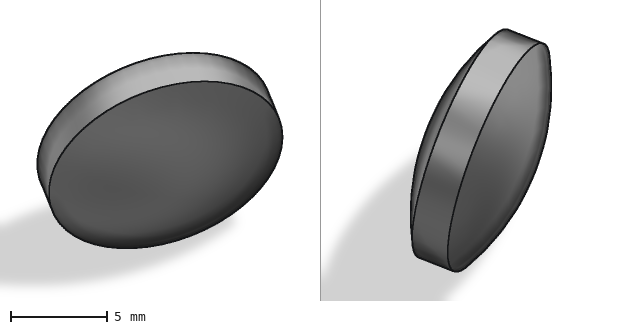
import cadquery as cq

diameter = 12.7
center_thickness = 5.6
edge_thickness = 2.03

radius = diameter / 2
half_center = center_thickness / 2
half_edge = edge_thickness / 2
sag = half_center - half_edge
surface_radius = (radius**2 + sag**2) / (2 * sag)

mid_radius = radius / 2
mid_x = half_center - surface_radius + (surface_radius**2 - mid_radius**2) ** 0.5


def make_lens():
    """Revolve the half section of the lens about the X axis."""
    half_section = (
        cq.Workplane("XY")
        .moveTo(-half_center, 0)
        .threePointArc((-mid_x, mid_radius), (-half_edge, radius))
        .lineTo(half_edge, radius)
        .threePointArc((mid_x, mid_radius), (half_center, 0))
        .close()
    )
    return half_section.revolve(360, (0, 0, 0), (1, 0, 0))


result = make_lens()